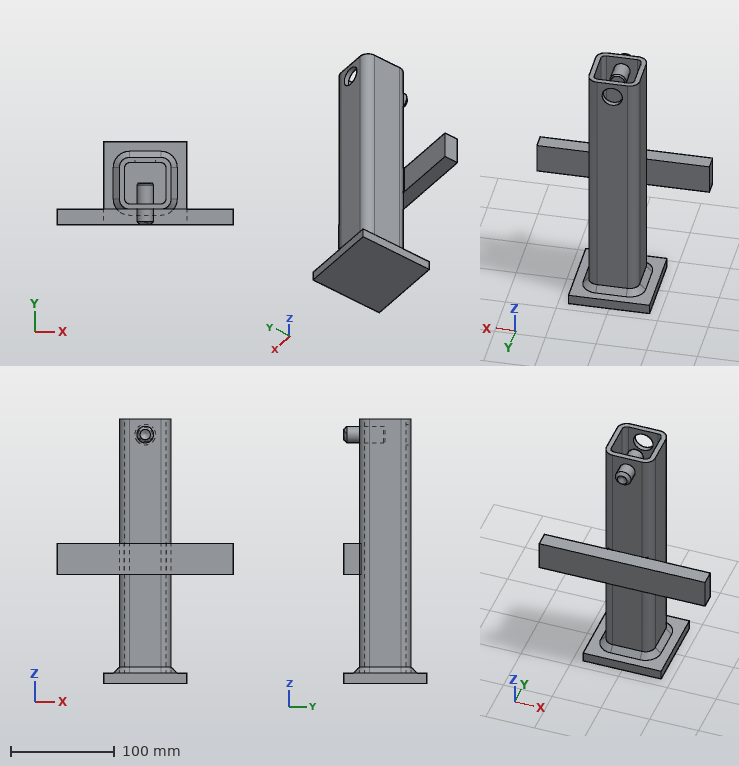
import cadquery as cq
import math

total_height = 255.0
plate_side = 80.0
plate_thickness = 10.0

tube_side = 50.0
tube_wall = 5.0
tube_corner_radius = 10.0
tube_face_y = -tube_side / 2
front_edge_y = -plate_side / 2

collar_leg = 5.9
collar_angle = 45.0

bar_length = 170.0
bar_height = 30.0
bar_bottom_z = 105.0
bar_depth = tube_face_y - front_edge_y

bar_weld_depth = 1.5

pin_diameter = 16.0
pin_tip_diameter = 10.0
pin_tail_diameter = 13.8
pin_tail_y = 0.0
pin_drop = 15.0
pin_z = total_height - pin_drop
pin_cone_angle = 120.0
pin_tail_bevel_length = 1.8
rear_hole_diameter = 20.0


def rounded_square_prism(side, corner_radius, bottom_z, height):
    """Upright square prism with rounded vertical edges, centred on Z."""
    prism = cq.Workplane("XY").workplane(offset=bottom_z).rect(side, side).extrude(height)
    return prism.edges("|Z").fillet(corner_radius)


def cylinder_along_y(diameter, start_y, end_y):
    """Cylinder at the pin height, running from start_y to end_y."""
    sketch = cq.Workplane("XZ", origin=(0, start_y, pin_z)).circle(diameter / 2)
    return sketch.extrude(start_y - end_y)


def make_base_plate():
    return cq.Workplane("XY").box(plate_side, plate_side, plate_thickness, centered=(True, True, False))


def make_tube_blank():
    """Outer form of the tube, without its bore."""
    return rounded_square_prism(
        tube_side, tube_corner_radius, plate_thickness, total_height - plate_thickness
    )


def make_tube():
    bore = rounded_square_prism(
        tube_side - 2 * tube_wall, tube_corner_radius - tube_wall, plate_thickness, total_height
    )
    pin_hole = cylinder_along_y(pin_diameter, tube_face_y, pin_tail_y)
    rear_hole = cylinder_along_y(rear_hole_diameter, pin_tail_y, tube_side / 2)
    return make_tube_blank().cut(bore).cut(pin_hole).cut(rear_hole)


def make_collar():
    """Weld with a sloping face all round the foot of the tube."""
    foot_side = tube_side + 2 * collar_leg
    foot = cq.Sketch().rect(foot_side, foot_side).vertices().fillet(tube_corner_radius + collar_leg)
    base = cq.Workplane("XY", origin=(0, 0, plate_thickness)).placeSketch(foot)
    tapered = base.extrude(collar_leg, taper=collar_angle)
    return tapered.cut(make_tube_blank())


def make_bar():
    block = cq.Workplane("XY").box(bar_length, bar_depth, bar_height, centered=(True, False, False))
    return block.translate((0, front_edge_y, bar_bottom_z))


def make_bar_weld(side):
    """Weld in the gap behind the bar at one tube corner; side is -1 or 1 along X."""
    corner_centre_x = tube_side / 2 - tube_corner_radius
    reach = math.sqrt(tube_corner_radius**2 - (tube_corner_radius - bar_weld_depth) ** 2)
    block = cq.Workplane("XY").box(reach, bar_weld_depth, bar_height, centered=(True, False, False))
    block = block.translate((side * (corner_centre_x + reach / 2), tube_face_y, bar_bottom_z))
    return block.cut(make_tube_blank())


def make_pin():
    """Turned pin: bevelled ends and a conical hollow in the tip."""
    radius = pin_diameter / 2
    tip_radius = pin_tip_diameter / 2
    tail_radius = pin_tail_diameter / 2
    cone_depth = tip_radius / math.tan(math.radians(pin_cone_angle / 2))
    profile = [
        (0, front_edge_y + cone_depth),
        (tip_radius, front_edge_y),
        (radius, front_edge_y + radius - tip_radius),
        (radius, pin_tail_y - pin_tail_bevel_length),
        (tail_radius, pin_tail_y),
        (0, pin_tail_y),
    ]
    turned = cq.Workplane("XY").polyline(profile).close().revolve(360, (0, 0), (0, 1))
    return turned.translate((0, 0, pin_z))


base_plate = make_base_plate()
tube = make_tube()
collar = make_collar()
bar = make_bar()
bar_welds = [make_bar_weld(side) for side in (-1, 1)]
pin = make_pin()

result = cq.Compound.makeCompound(
    [
        base_plate.val(),
        tube.val(),
        collar.val(),
        bar.val(),
        *[weld.val() for weld in bar_welds],
        pin.val(),
    ]
)